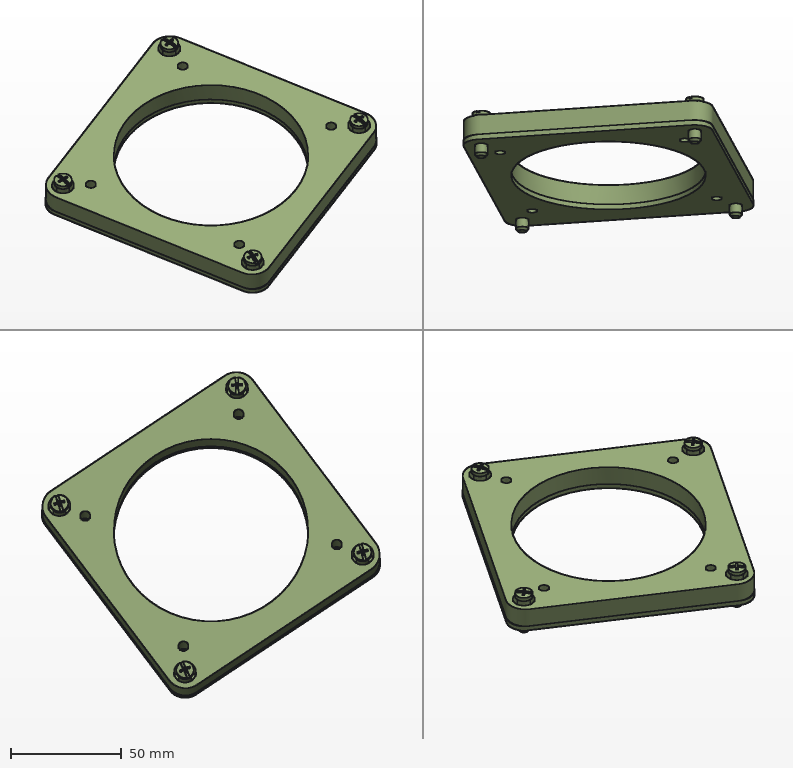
import cadquery as cq

SIDE = 114.5
UPPER_THICKNESS = 9.4
LOWER_THICKNESS = 2.4
UPPER_CORNER_RADIUS = 9.0
LOWER_CORNER_RADIUS = 8.2
BORE_DIAMETER = 88.0

MOUNT_HOLE_DIAMETER = 4.6
MOUNT_SPACING_X = 77.0
MOUNT_SPACING_Y = 85.0

SCREW_SPACING = 98.4
CLEARANCE_DIAMETER = 10.0

SHANK_DIAMETER = 5.7
SHANK_BOTTOM = -7.9
TIP_DIAMETER = 3.8
TIP_CHAMFER_HEIGHT = 1.3
HEAD_DIAMETER = 8.0
HEAD_BOTTOM = 11.1
HEAD_RIM_HEIGHT = 1.8
HEAD_DOME_HEIGHT = 0.7
SLOT_WIDTH = 1.3
SLOT_DEPTH = 1.4
CROSS_ARM_WIDTH = 0.8
CROSS_LENGTH = 5.4
CROSS_DEPTH = 2.9

HEAD_RIM_TOP = HEAD_BOTTOM + HEAD_RIM_HEIGHT
HEAD_CROWN = HEAD_RIM_TOP + HEAD_DOME_HEIGHT


def rectangle_corners(spacing_x, spacing_y):
    """Corner points of a rectangle centred on the origin."""
    return [(x * spacing_x / 2, y * spacing_y / 2) for x in (-1, 1) for y in (-1, 1)]


SCREW_POINTS = rectangle_corners(SCREW_SPACING, SCREW_SPACING)
SLOT_ANGLES = [160.0, 169.0, 146.0, 162.0]
MOUNT_POINTS = rectangle_corners(MOUNT_SPACING_X, MOUNT_SPACING_Y)


def make_plate(bottom, thickness, corner_radius, screw_hole_diameter):
    """Rounded square plate with the large bore, mounting holes and screw holes."""
    plate = (
        cq.Workplane("XY", origin=(0, 0, bottom))
        .rect(SIDE, SIDE)
        .extrude(thickness)
        .edges("|Z")
        .fillet(corner_radius)
    )
    holes = (
        cq.Workplane("XY", origin=(0, 0, bottom))
        .circle(BORE_DIAMETER / 2)
        .extrude(thickness)
        .pushPoints(MOUNT_POINTS)
        .circle(MOUNT_HOLE_DIAMETER / 2)
        .extrude(thickness)
        .pushPoints(SCREW_POINTS)
        .circle(screw_hole_diameter / 2)
        .extrude(thickness)
    )
    return plate.cut(holes)


def make_screw_blank():
    """Revolved screw: chamfered tip, shank, and head with a domed top."""
    head_radius = HEAD_DIAMETER / 2
    dome_radius = (head_radius**2 + HEAD_DOME_HEIGHT**2) / (2 * HEAD_DOME_HEIGHT)
    middle_x = head_radius / 2
    middle_z = HEAD_CROWN - dome_radius + (dome_radius**2 - middle_x**2) ** 0.5
    return (
        cq.Workplane("XZ")
        .moveTo(0, SHANK_BOTTOM)
        .lineTo(TIP_DIAMETER / 2, SHANK_BOTTOM)
        .lineTo(SHANK_DIAMETER / 2, SHANK_BOTTOM + TIP_CHAMFER_HEIGHT)
        .lineTo(SHANK_DIAMETER / 2, HEAD_BOTTOM)
        .lineTo(head_radius, HEAD_BOTTOM)
        .lineTo(head_radius, HEAD_RIM_TOP)
        .threePointArc((middle_x, middle_z), (0, HEAD_CROWN))
        .close()
        .revolve(360, (0, 0, 0), (0, 1, 0))
    )


def make_slot_cutter():
    """Straight slot across the whole head."""
    return (
        cq.Workplane("XY", origin=(0, 0, HEAD_CROWN - SLOT_DEPTH))
        .rect(2 * HEAD_DIAMETER, SLOT_WIDTH)
        .extrude(SLOT_DEPTH)
    )


def make_cross_cutter():
    """Two crossed blades that taper to a point on the screw axis."""
    blade = (
        cq.Workplane("XZ")
        .moveTo(-CROSS_LENGTH / 2, HEAD_CROWN)
        .lineTo(0, HEAD_CROWN - CROSS_DEPTH)
        .lineTo(CROSS_LENGTH / 2, HEAD_CROWN)
        .close()
        .extrude(CROSS_ARM_WIDTH / 2, both=True)
    )
    return blade.union(blade.rotate((0, 0, 0), (0, 0, 1), 90))


def make_screw(x, y, slot_angle):
    """One screw on a vertical axis through (x, y), turned to its slot angle."""
    screw = make_screw_blank().cut(make_slot_cutter()).cut(make_cross_cutter())
    return screw.rotate((0, 0, 0), (0, 0, 1), slot_angle).translate((x, y, 0))


upper_plate = make_plate(0, UPPER_THICKNESS, UPPER_CORNER_RADIUS, CLEARANCE_DIAMETER)
lower_plate = make_plate(-LOWER_THICKNESS, LOWER_THICKNESS, LOWER_CORNER_RADIUS, SHANK_DIAMETER)
screws = [make_screw(x, y, angle) for (x, y), angle in zip(SCREW_POINTS, SLOT_ANGLES)]

result = cq.Compound.makeCompound(
    [upper_plate.val(), lower_plate.val(), *[screw.val() for screw in screws]]
)